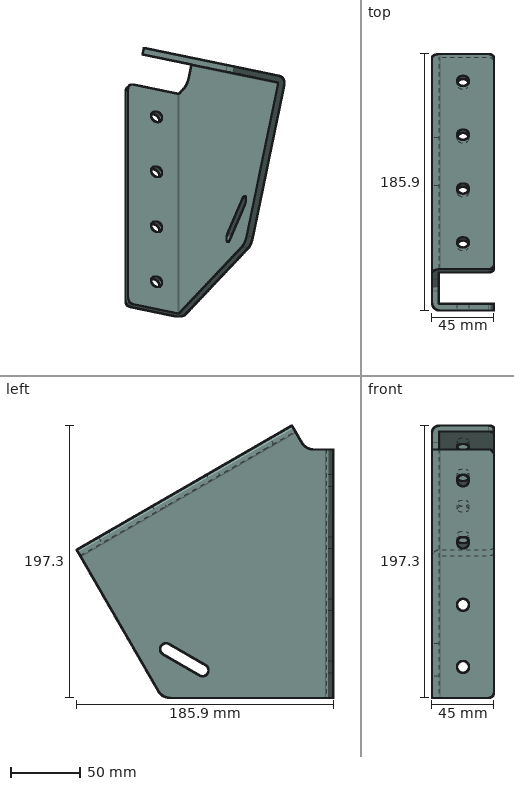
import cadquery as cq
import math

thickness = 5.0
inner_bend_radius = 0.75
outer_bend_radius = inner_bend_radius + thickness
flange_width = 45.0
flange_length = 180.0
flange_corner_radius = 4.0
flange_angle = 60.0
half_angle = math.radians(flange_angle / 2)

notch_depth = 20.0
plate_corner_radius = 10.0
apex_to_flange = notch_depth / math.tan(half_angle)
apex_z = apex_to_flange + flange_length
bottom_corner_y = apex_z * math.tan(half_angle)

hole_diameter = 8.5
hole_count = 4
hole_pitch = flange_length / hole_count
hole_x = flange_width / 2

slot_width = 8.5
slot_center_distance = 30.5
slot_setback = 32.0


def mirror_to_second_flange(solid):
    """Mirror across the plane that bisects the angle between the flanges."""
    normal = (0, math.cos(half_angle), math.sin(half_angle))
    return solid.mirror(normal, (0, 0, apex_z))


def mirror_point(y, z):
    """Mirror a (Y, Z) point across the bisector of the flanges."""
    bisector_distance = y * math.cos(half_angle) + (z - apex_z) * math.sin(half_angle)
    return (
        y - 2 * bisector_distance * math.cos(half_angle),
        z - 2 * bisector_distance * math.sin(half_angle),
    )


def make_plate():
    """Flat side plate, from bend line to bend line."""
    bend_bottom = (outer_bend_radius, 0)
    bend_top = (outer_bend_radius, flange_length)
    notch_corner = (notch_depth, flange_length)
    bottom_corner = (bottom_corner_y, 0)
    plate = (
        cq.Workplane("YZ")
        .polyline([
            bend_bottom,
            bottom_corner,
            mirror_point(*bend_bottom),
            mirror_point(*bend_top),
            notch_corner,
            bend_top,
        ])
        .close()
        .extrude(thickness)
    )
    for y, z in (notch_corner, bottom_corner):
        corner_edge = cq.selectors.NearestToPointSelector((thickness / 2, y, z))
        plate = plate.edges("|X").edges(corner_edge).fillet(plate_corner_radius)
    return plate


def make_slot():
    """Cutter for the slot, centered on the bisector and square to it."""
    apex_to_slot = apex_z / math.cos(half_angle) - slot_setback
    slot_y = apex_to_slot * math.sin(half_angle)
    slot_z = apex_z - apex_to_slot * math.cos(half_angle)
    return (
        cq.Workplane("YZ")
        .center(slot_y, slot_z)
        .slot2D(slot_center_distance + slot_width, slot_width, flange_angle / 2)
        .extrude(thickness)
    )


def make_flange():
    """Bend and vertical flange with its outer face at Y = 0."""
    diagonal = math.sqrt(0.5)
    outer_mid = outer_bend_radius * (1 - diagonal)
    inner_mid = outer_bend_radius - inner_bend_radius * diagonal
    flange = (
        cq.Workplane("XY")
        .moveTo(0, outer_bend_radius)
        .threePointArc((outer_mid, outer_mid), (outer_bend_radius, 0))
        .lineTo(flange_width, 0)
        .lineTo(flange_width, thickness)
        .lineTo(outer_bend_radius, thickness)
        .threePointArc((inner_mid, inner_mid), (thickness, outer_bend_radius))
        .close()
        .extrude(flange_length)
        .edges("|Y and >X")
        .fillet(flange_corner_radius)
    )
    hole_points = [(hole_x, (i + 0.5) * hole_pitch) for i in range(hole_count)]
    holes = (
        cq.Workplane("XZ")
        .pushPoints(hole_points)
        .circle(hole_diameter / 2)
        .extrude(-thickness)
    )
    return flange.cut(holes)


front_flange = make_flange()
upper_flange = mirror_to_second_flange(front_flange)
plate = make_plate().cut(make_slot())
result = plate.union(front_flange).union(upper_flange)